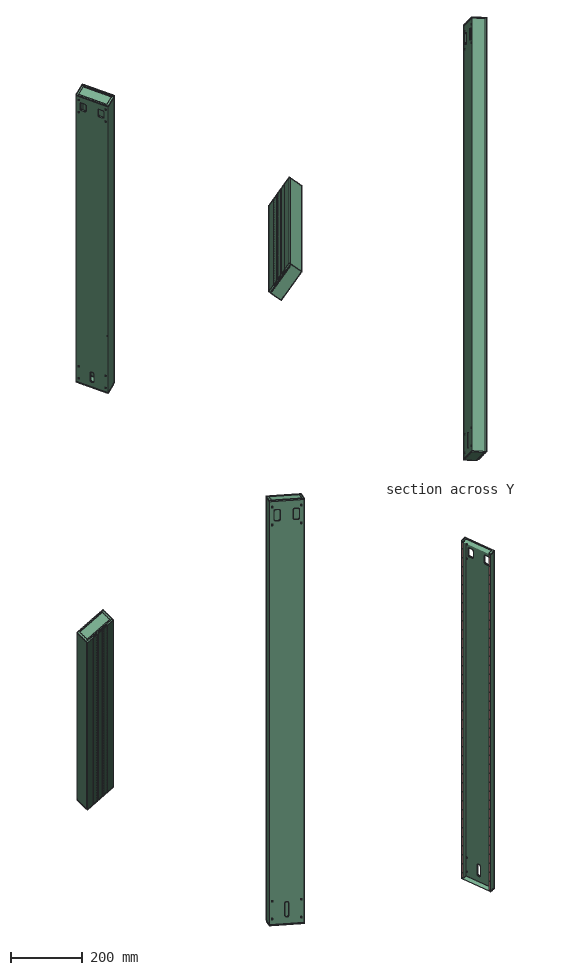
import cadquery as cq

width = 99.87
total_depth = 42.85
height = 1249.81

end_plate_thickness = 3.5
bottom_plate_setback = 1.5

panel_thickness = 4.9
strip_count = 3
strip_width = 15.0
strip_pitch = 20.0
strip_thickness = 2.5
panel_bottom_z = end_plate_thickness
panel_height = height - panel_bottom_z
strip_front_y = total_depth - strip_thickness

column_depth = total_depth - panel_thickness
column_height = height - 2 * end_plate_thickness
top_plate_z = height - end_plate_thickness
side_wall = 6.5
front_wall = 4.4
rear_wall = 3.5
cavity_width = width - 2 * side_wall
cavity_depth = column_depth - front_wall - rear_wall

screw_hole_diameter = 4.5
screw_hole_spacing_x = 83.0
screw_hole_spacing_z = 52.5
top_screw_centre_z = height - 46.0
bottom_screw_centre_z = 45.5

window_width = 18.0
window_height = 33.0
window_corner_radius = 5.0
window_offset_x = 27.5
window_centre_z = height - 44.5

slot_width = 11.0
slot_length = 45.0
slot_centre_z = 45.0


def block(block_width, block_depth, block_height, front_y, bottom_z):
    """Box centred on X, standing on bottom_z with its front face at front_y."""
    box = cq.Workplane("XY").box(block_width, block_depth, block_height, centered=(True, False, False))
    return box.translate((0, front_y, bottom_z))


def front_plane(centre_z):
    """Workplane on the front face, centred on X at the given height."""
    return cq.Workplane("XZ", origin=(0, 0, centre_z))


def screw_holes(centre_z):
    """Four drillings through the front wall around centre_z."""
    pattern = front_plane(centre_z).rarray(screw_hole_spacing_x, screw_hole_spacing_z, 2, 2)
    return pattern.circle(screw_hole_diameter / 2).extrude(-front_wall)


def windows():
    """Two rounded rectangular openings, mirrored about the centre line."""
    pattern = front_plane(window_centre_z).rarray(2 * window_offset_x, 1, 2, 1)
    openings = pattern.rect(window_width, window_height).extrude(-front_wall)
    return openings.edges("|Y").fillet(window_corner_radius)


def upright_slot():
    """Round-ended opening standing upright on the centre line."""
    return front_plane(slot_centre_z).slot2D(slot_length, slot_width, 90).extrude(-front_wall)


def make_column():
    """Rectangular tube with the openings in its front wall."""
    tube = block(width, column_depth, column_height, 0, end_plate_thickness)
    tube = tube.cut(block(cavity_width, cavity_depth, column_height, front_wall, end_plate_thickness))
    tube = tube.cut(screw_holes(top_screw_centre_z)).cut(screw_holes(bottom_screw_centre_z))
    return tube.cut(windows()).cut(upright_slot())


def make_bottom_plate():
    """Plain foot plate, set back a little from the rear of the column."""
    return block(width, column_depth - bottom_plate_setback, end_plate_thickness, 0, 0)


def make_top_insert():
    """Plate filling the opening of the top plate, flush with its upper face."""
    return block(cavity_width, cavity_depth, end_plate_thickness, front_wall, top_plate_z)


def make_top_plate():
    """Frame on top of the tube, with an opening for the top insert."""
    return block(width, column_depth, end_plate_thickness, 0, top_plate_z).cut(make_top_insert())


def make_strip(index):
    """One full-height strip in the back of the panel, counted from the -X side."""
    centre_x = (index - (strip_count - 1) / 2) * strip_pitch
    strip = block(strip_width, strip_thickness, panel_height, strip_front_y, panel_bottom_z)
    return strip.translate((centre_x, 0, 0))


def make_rear_panel():
    """Full-width panel behind the column, grooved to take the strips."""
    panel = block(width, panel_thickness, panel_height, column_depth, panel_bottom_z)
    for index in range(strip_count):
        panel = panel.cut(make_strip(index))
    return panel


column = make_column()
bottom_plate = make_bottom_plate()
top_plate = make_top_plate()
top_insert = make_top_insert()
rear_panel = make_rear_panel()
strips = [make_strip(index) for index in range(strip_count)]

result = cq.Compound.makeCompound(
    [
        column.val(),
        bottom_plate.val(),
        top_plate.val(),
        top_insert.val(),
        rear_panel.val(),
        *[strip.val() for strip in strips],
    ]
)